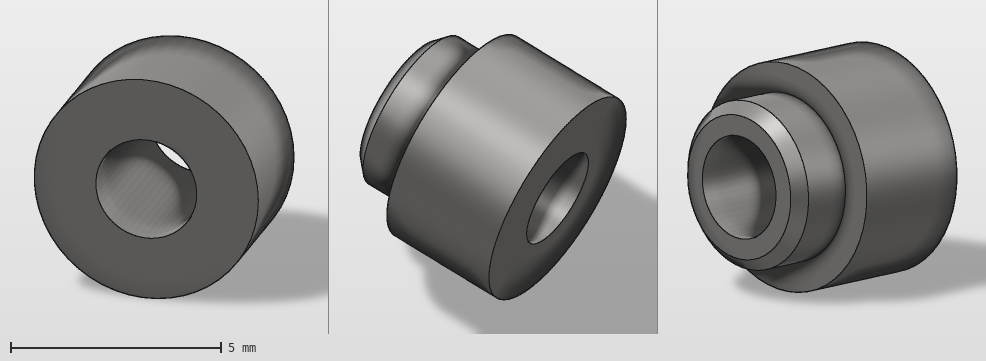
import cadquery as cq

body_diameter = 5.56
body_length = 3.0
total_length = 4.53
spigot_diameter = 4.105
spigot_chamfer = 0.3
bore_diameter = 2.5


def cylinder_along_y(diameter, length):
    """Cylinder from the front face at Y = 0 toward +Y."""
    return cq.Workplane("XZ").circle(diameter / 2).extrude(-length)


body = cylinder_along_y(body_diameter, body_length)

spigot = cylinder_along_y(spigot_diameter, total_length)
spigot = spigot.faces(">Y").chamfer(spigot_chamfer)

bore = cylinder_along_y(bore_diameter, total_length)

result = body.union(spigot).cut(bore)